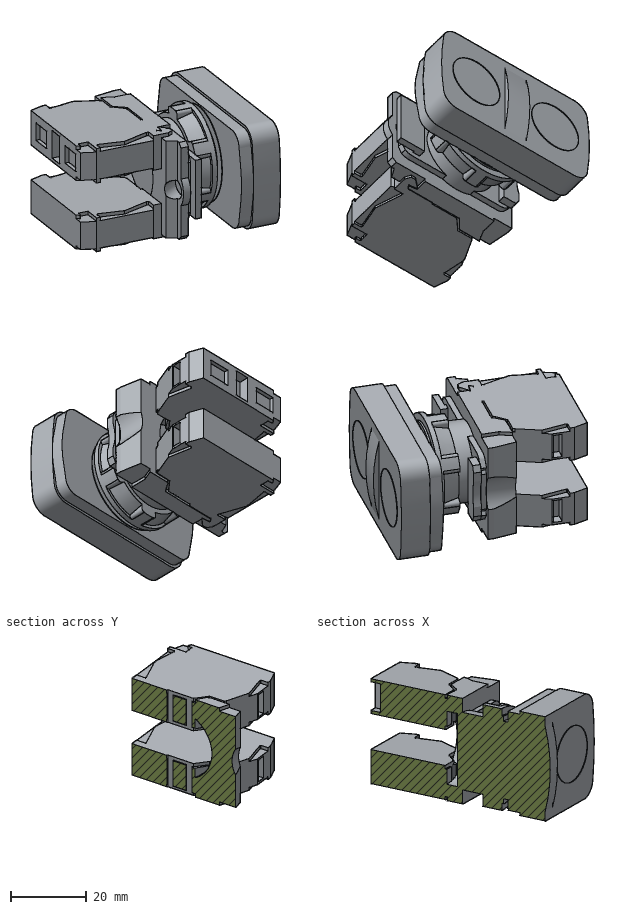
import cadquery as cq
import math


overall_length = 55.9
head_half_width = 49.5 / 2
half_height = 30.0 / 2

base_rear_y = 20.45
seat_y = 23.7
tab_rear_y = 26.45
base_front_y = 28.6
plate_front_y = 30.25
clamp_rear_y = 30.65
clamp_front_y = 32.4
nut_rear_y = 34.75
flange_rear_y = 39.35
flange_front_y = 40.8
washer_front_y = 41.35
gasket_rear_y = 42.55
head_rear_y = 42.7
cap_rear_y = 46.3
head_front_y = 54.35

cap_half_height = 14.8
body_half_height = 14.05
head_flat_half_width = 19.2
cap_side = [(24.1, 10.5)]
body_side = [(23.35, 10.25), (24.0, 6.8)]
rocker_width = 7.15
rocker_half_height = 11.95
button_radius = 7.8
button_height = 0.15
button_offset = 13.2

gasket_radius = 13.5
washer_radius = 12.45
neck_radius = 11.05
nut_radius = 14.5
tooth_count = 6
tooth_half_width = 1.7
tooth_corner_radius = 0.85
tooth_corner_z = 14.3
nut_front_cone_radius = 13.6
nut_rear_cone_radius = 12.4

step_depth = 1.0
wing_half_height = half_height - step_depth
base_bore_radius = 10.3
base_bore_floor_y = 26.85
grip_radius = 7.7
grip_apex_x = -16.9
centre_right_x = 10.45
step_left_x = -7.25
step_right_x = -4.85
flank_x = 19.2
tab_inner_x = 16.75
tab_edge_x = 21.35
tab_nose_x = 22.8
tab_nose_half_height = 3.85
tab_chamfer = 1.2
hook_foot_x = 12.25
hook_tip_x = 12.8
hook_tip_y = 24.5
hook_top_y = 24.75
hook_root_y = 25.05
screw_hole_radius = 2.7
screw_hole_tilt = 35.0
screw_hole_x = 18.5
screw_hole_reach = 11.2

plate_half_height = 10.05
clamp_half_height = 8.5
left_clamp_inner_x = -12.95
right_clamp_inner_x = 13.6
clamp_foot_x = 15.8
left_clamp_outer_x = -18.05
left_clamp_corner_x = -17.1
left_clamp_corner_z = 6.7
right_clamp_outer_x = 21.45
clamp_notch_half_height = 3.9
clamp_notch_depth = 0.65

block_half_width = 16.05
block_foot_half_width = 14.6
block_foot_y = 4.0
block_side_y = 10.2
block_shoulder_y = 21.35
shoulder_drop = 0.4
block_inner_z = 5.05
lower_block_outer_z = -14.8
clip_x = 15.2
clip_gap = 0.1
ledge_y = 5.2
parting_gap = 0.5
parting_rear_y = base_rear_y - 0.6
ledge_outer_x = 16.75
side_window_y = (7.4, 9.8)
side_window_inset = 1.55
side_window_depth = 2.8
window_width = 6.25
window_height = 5.05
window_x = 8.55
window_depth = 1.2
centre_window_width = 4.25
centre_window_depth = 2.85
slot_outer_x = 3.9

diagonal = math.sqrt(0.5)


def prism(points, z_low, z_high):
    """Extrude an outline in X and Y between two heights."""
    return cq.Workplane("XY", origin=(0, 0, z_low)).polyline(points).close().extrude(z_high - z_low)


def box(x_range, y_range, z_range):
    size = [high - low for low, high in (x_range, y_range, z_range)]
    corner = (x_range[0], y_range[0], z_range[0])
    return cq.Workplane("XY").box(*size, centered=False).translate(corner)


def facing_front(y_front):
    """Workplane with X and Z as its axes, on which extrusion runs rearward."""
    return cq.Workplane("XZ", origin=(0, y_front, 0))


def disc(radius, y_rear, y_front, x=0.0):
    return facing_front(y_front).center(x, 0).circle(radius).extrude(y_front - y_rear)


def rounded_head(half_height_z, side, y_rear, y_front):
    """Block with flat top and bottom, round corners and bowed sides.

    The points in side lead from the end of the corner arc to the start of the bow.
    """
    flat = head_flat_half_width
    corner_x, corner_z = side[0]
    bow_x, bow_z = side[-1]
    mid_x = flat + (corner_x - flat) * diagonal
    mid_z = corner_z + (half_height_z - corner_z) * diagonal

    outline = facing_front(y_front).moveTo(-flat, half_height_z).lineTo(flat, half_height_z)
    outline = outline.threePointArc((mid_x, mid_z), (corner_x, corner_z))
    for x, z in side[1:]:
        outline = outline.lineTo(x, z)
    outline = outline.threePointArc((head_half_width, 0), (bow_x, -bow_z))
    for x, z in reversed(side[:-1]):
        outline = outline.lineTo(x, -z)
    outline = outline.threePointArc((mid_x, -mid_z), (flat, -half_height_z))
    outline = outline.lineTo(-flat, -half_height_z)
    outline = outline.threePointArc((-mid_x, -mid_z), (-corner_x, -corner_z))
    for x, z in side[1:]:
        outline = outline.lineTo(-x, -z)
    outline = outline.threePointArc((-head_half_width, 0), (-bow_x, bow_z))
    for x, z in reversed(side[:-1]):
        outline = outline.lineTo(-x, z)
    outline = outline.threePointArc((-mid_x, mid_z), (-flat, half_height_z))
    return outline.close().extrude(y_front - y_rear)


def make_head():
    cap = rounded_head(cap_half_height, cap_side, cap_rear_y, head_front_y)
    body = rounded_head(body_half_height, body_side, head_rear_y, cap_rear_y)
    rocker = (
        cq.Workplane("YZ", origin=(-rocker_width / 2, 0, 0))
        .moveTo(head_front_y, -rocker_half_height)
        .threePointArc((overall_length, 0), (head_front_y, rocker_half_height))
        .close()
        .extrude(rocker_width)
    )
    head = cap.union(body).union(rocker)
    for x in (-button_offset, button_offset):
        head = head.union(disc(button_radius, head_front_y, head_front_y + button_height, x))
    return head


def make_neck():
    neck = disc(neck_radius, base_front_y, head_rear_y)
    neck = neck.union(disc(gasket_radius, gasket_rear_y, head_rear_y))
    return neck.union(disc(washer_radius, flange_front_y, washer_front_y))


def make_nut():
    """Flanged nut whose conical skirt carries teeth with rounded corners."""
    flange = disc(nut_radius, flange_rear_y, flange_front_y)
    skirt = (
        cq.Workplane("XY")
        .moveTo(0, nut_rear_y)
        .lineTo(nut_rear_cone_radius, nut_rear_y)
        .lineTo(nut_front_cone_radius, flange_rear_y)
        .lineTo(0, flange_rear_y)
        .close()
        .revolve(360, (0, 0, 0), (0, 1, 0))
    )
    side_x = tooth_half_width + tooth_corner_radius
    side_z = tooth_corner_z - tooth_corner_radius
    arc_x = tooth_half_width + tooth_corner_radius * diagonal
    arc_z = side_z + tooth_corner_radius * diagonal
    tooth = (
        facing_front(flange_rear_y)
        .moveTo(-tooth_half_width, nut_radius)
        .lineTo(tooth_half_width, nut_radius)
        .lineTo(tooth_half_width, tooth_corner_z)
        .threePointArc((arc_x, arc_z), (side_x, side_z))
        .lineTo(side_x, 0)
        .lineTo(-side_x, 0)
        .lineTo(-side_x, side_z)
        .threePointArc((-arc_x, arc_z), (-tooth_half_width, tooth_corner_z))
        .close()
        .extrude(flange_rear_y - nut_rear_y)
        .intersect(disc(nut_radius, nut_rear_y, flange_rear_y))
    )
    nut = flange.union(skirt)
    for i in range(tooth_count):
        nut = nut.union(tooth.rotate((0, 0, 0), (0, 1, 0), i * 360 / tooth_count))
    return nut


def make_base():
    wings = prism(
        [
            (-18.6, base_front_y),
            (-18.6, 26.9),
            (-17.45, base_rear_y),
            (step_left_x, base_rear_y),
            (step_right_x, seat_y),
            (17.9, seat_y),
            (flank_x, tab_rear_y),
            (flank_x, base_front_y),
        ],
        -wing_half_height,
        wing_half_height,
    )
    raised_centre = prism(
        [
            (-12.65, base_front_y),
            (-12.65, 23.8),
            (-14.0, base_rear_y),
            (step_left_x, base_rear_y),
            (step_right_x, seat_y),
            (hook_foot_x, seat_y),
            (hook_tip_x, hook_tip_y),
            (hook_tip_x, hook_top_y),
            (centre_right_x, hook_root_y),
            (centre_right_x, base_front_y),
        ],
        -half_height,
        half_height,
    )
    tab = (
        facing_front(base_front_y)
        .moveTo(tab_inner_x, wing_half_height)
        .lineTo(tab_edge_x - tab_chamfer, wing_half_height)
        .lineTo(tab_edge_x, wing_half_height - tab_chamfer)
        .lineTo(tab_edge_x, tab_nose_half_height)
        .threePointArc((tab_nose_x, 0), (tab_edge_x, -tab_nose_half_height))
        .lineTo(tab_edge_x, -wing_half_height + tab_chamfer)
        .lineTo(tab_edge_x - tab_chamfer, -wing_half_height)
        .lineTo(tab_inner_x, -wing_half_height)
        .close()
        .extrude(base_front_y - tab_rear_y)
    )
    bore = disc(base_bore_radius, base_rear_y, base_bore_floor_y)
    grip = disc(grip_radius, base_rear_y, base_front_y, grip_apex_x - grip_radius)
    screw_hole = (
        disc(screw_hole_radius, -screw_hole_reach, screw_hole_reach)
        .rotate((0, 0, 0), (0, 0, 1), screw_hole_tilt)
        .translate((screw_hole_x, tab_rear_y, 0))
    )
    return wings.union(raised_centre).union(tab).cut(bore).cut(grip).cut(screw_hole)


def make_lock_plate():
    """Plate around the neck with round shoulders, one narrow end and one wide end."""
    half = (
        facing_front(plate_front_y)
        .moveTo(-17.2, 0)
        .lineTo(-17.2, 5.35)
        .lineTo(-16.55, 6.25)
        .lineTo(-17.2, 7.25)
        .lineTo(-15.65, 9.3)
        .threePointArc((-14.75, 9.85), (-13.65, plate_half_height))
        .lineTo(15.8, plate_half_height)
        .threePointArc((17.3, 9.85), (18.4, 9.3))
        .lineTo(19.45, 7.25)
        .lineTo(19.45, 0)
        .close()
        .extrude(plate_front_y - base_front_y)
    )
    return half.union(half.mirror("XY"))


def make_clamps():
    """Left and right clamp jaws standing on the lock plate."""
    left = (
        facing_front(clamp_front_y)
        .moveTo(left_clamp_inner_x, clamp_half_height)
        .lineTo(left_clamp_corner_x, clamp_half_height)
        .lineTo(left_clamp_outer_x, left_clamp_corner_z)
        .lineTo(left_clamp_outer_x, clamp_notch_half_height)
        .threePointArc(
            (left_clamp_outer_x + clamp_notch_depth, 0),
            (left_clamp_outer_x, -clamp_notch_half_height),
        )
        .lineTo(left_clamp_outer_x, -left_clamp_corner_z)
        .lineTo(left_clamp_corner_x, -clamp_half_height)
        .lineTo(left_clamp_inner_x, -clamp_half_height)
        .close()
        .extrude(clamp_front_y - plate_front_y)
    )
    clamp_z = (-clamp_half_height, clamp_half_height)
    right = box((right_clamp_inner_x, right_clamp_outer_x), (clamp_rear_y, clamp_front_y), clamp_z)
    foot = box((right_clamp_inner_x, clamp_foot_x), (plate_front_y, clamp_rear_y), clamp_z)
    return left.union(right).union(foot)


def make_block(z_low, z_high, clip_z, floors):
    """Contact block: plain body, clip on its outer face, steps on both faces, side window."""
    block = prism(
        [
            (-11.85, base_rear_y),
            (-block_half_width, block_side_y),
            (-block_half_width, block_foot_y),
            (-block_foot_half_width, 0),
            (block_foot_half_width, 0),
            (block_half_width, block_foot_y),
            (block_half_width, block_shoulder_y - shoulder_drop),
            (clip_x, block_shoulder_y),
            (clip_x, seat_y),
            (step_right_x, seat_y),
            (step_left_x, base_rear_y),
        ],
        z_low,
        z_high,
    )
    clip = prism(
        [
            (centre_right_x, 25.25),
            (12.8, 27.45),
            (14.2, 27.45),
            (clip_x, 25.8),
            (clip_x, seat_y),
            (hook_foot_x + clip_gap, seat_y),
            (hook_tip_x + clip_gap, hook_tip_y + clip_gap),
            (hook_tip_x + clip_gap, hook_top_y + clip_gap),
            (centre_right_x, hook_root_y + clip_gap),
        ],
        *clip_z,
    )
    block = block.union(clip)

    left_ledge = [
        (-15.05, 12.7), (-13.65, 5.55), (-13.85, ledge_y),
        (-ledge_outer_x, ledge_y), (-ledge_outer_x, 12.7),
    ]
    right_ledge = [
        (12.35, block_shoulder_y), (12.35, 20.75), (15.05, 12.85), (13.7, 5.55), (13.9, ledge_y),
        (ledge_outer_x, ledge_y), (ledge_outer_x, block_shoulder_y),
    ]
    foot_ledge = [
        (11.0, block_foot_y), (11.0, 1.25), (12.35, 1.1), (12.45, 0.85), (11.9, 0),
        (ledge_outer_x, 0), (ledge_outer_x, block_foot_y),
    ]
    parting_line = [
        (-12.3, base_rear_y), (step_left_x, base_rear_y), (step_right_x, seat_y), (4.15, seat_y),
        (slot_outer_x, seat_y - parting_gap), (-4.25, seat_y - parting_gap),
        (-7.2, parting_rear_y), (-11.9, parting_rear_y), (-12.3, parting_rear_y - 0.55),
    ]
    for face_z in floors:
        for outline in (left_ledge, right_ledge, foot_ledge, parting_line):
            block = block.cut(prism(outline, *face_z))

    window_z = (z_low + side_window_inset, z_high - side_window_inset)
    window_x_range = (-block_half_width, -block_half_width + side_window_depth)
    return block.cut(box(window_x_range, side_window_y, window_z))


def make_upper_block():
    z_range = (block_inner_z, half_height)
    inner_floor = (block_inner_z, block_inner_z + step_depth)
    outer_floor = (wing_half_height, half_height)
    block = make_block(*z_range, outer_floor, (inner_floor, outer_floor))

    middle_z = (block_inner_z + half_height) / 2
    small_z = (middle_z - window_height / 2, middle_z + window_height / 2)
    for x in (-window_x, window_x):
        x_range = (x - window_width / 2, x + window_width / 2)
        block = block.cut(box(x_range, (0, window_depth), small_z))
    tall_z = (block_inner_z + step_depth, wing_half_height)
    centre_x = (-centre_window_width / 2, centre_window_width / 2)
    return block.cut(box(centre_x, (0, centre_window_depth), tall_z))


def make_lower_block():
    inner_floor = (-block_inner_z - step_depth, -block_inner_z)
    outer_floor = (lower_block_outer_z, -wing_half_height)
    return make_block(lower_block_outer_z, -block_inner_z, outer_floor, (inner_floor, outer_floor))


def make_slots():
    """Open slots between base and blocks, on both sides of the central rib."""
    y_range = (seat_y - parting_gap, seat_y)
    z_range = (-half_height, half_height)
    left = box((-slot_outer_x, -centre_window_width / 2), y_range, z_range)
    return left.union(left.mirror("YZ"))


result = (
    make_head()
    .union(make_neck())
    .union(make_nut())
    .union(make_base())
    .union(make_lock_plate())
    .union(make_clamps())
    .union(make_upper_block())
    .union(make_lower_block())
    .cut(make_slots())
)